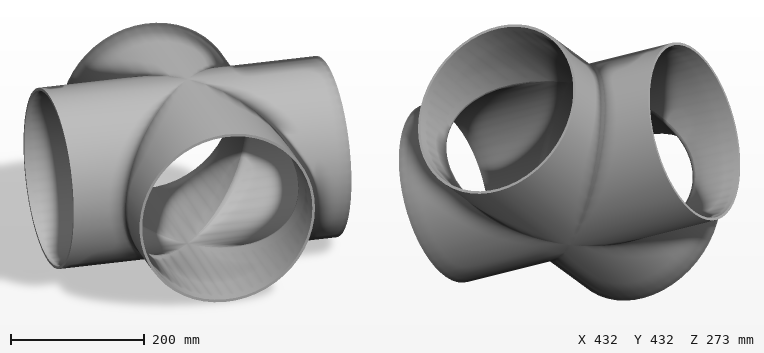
import cadquery as cq

pipe_length = 432.0
outer_diameter = 273.0
bore_diameter = 265.0
wall = (outer_diameter - bore_diameter) / 2

outer_seam_radius = wall
inner_seam_radius = outer_seam_radius + wall


def cylinder(end_plane, diameter):
    """Full-length cylinder centred on the origin, normal to the given plane."""
    return cq.Workplane(end_plane).circle(diameter / 2).extrude(pipe_length / 2, both=True)


def rounded_cross(diameter, seam_radius):
    """Two crossing cylinders with their elliptical seams rounded."""
    cross = cylinder("YZ", diameter).union(cylinder("XZ", diameter))
    return cross.edges("%ELLIPSE").fillet(seam_radius)


outside = rounded_cross(outer_diameter, outer_seam_radius)
bores = rounded_cross(bore_diameter, inner_seam_radius)
result = outside.cut(bores)